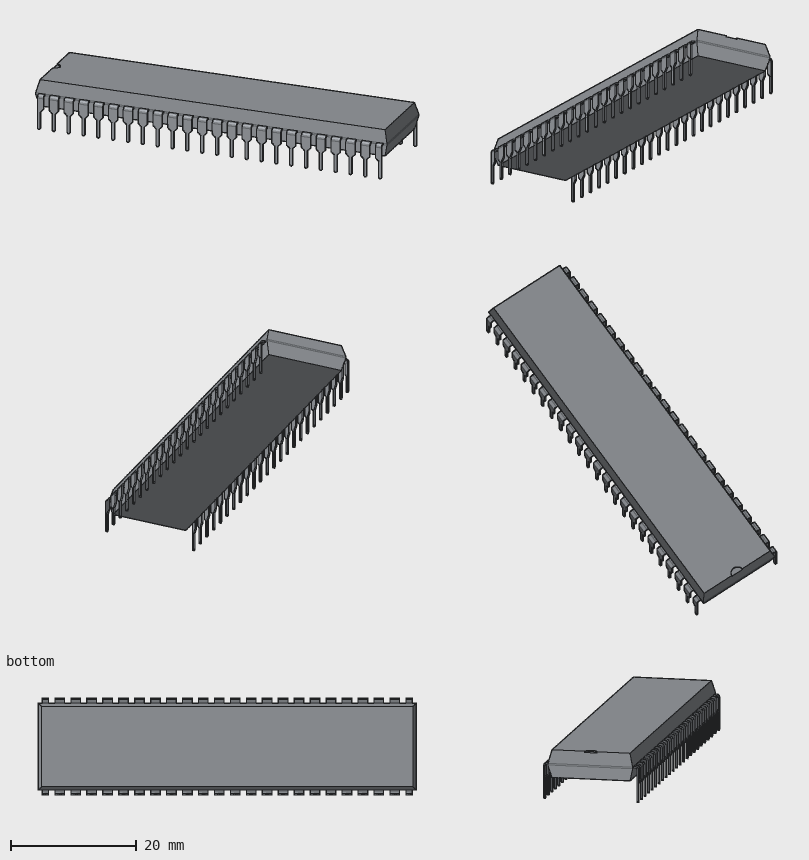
import cadquery as cq
import math

body_length = 60.2
body_width = 13.85
body_height = 4.5
draft_angle = 14.5

leads_per_side = 24
lead_pitch = 2.54
lead_thickness = 0.25
lead_span = 15.5
bend_radius = 0.25
lead_wide = 1.55
lead_narrow = 0.5
shoulder_drop = 2.35
shoulder_height = 0.55
tip_chamfer = 0.2
overall_height = 8.0

notch_radius = 1.0
notch_depth = 0.2
notch_inset = 0.4

half_band = lead_thickness / 2
half_body = body_height / 2
taper_height = half_body - half_band
lead_end_z = half_body - overall_height
shoulder_z = half_band - shoulder_drop
outer_y = lead_span / 2


def make_body():
    """Straight band at mid-height with tapered halves above and below it."""
    band = cq.Workplane("XY").box(body_length, body_width, lead_thickness)
    upper = (
        cq.Workplane("XY", origin=(0, 0, half_band))
        .rect(body_length, body_width)
        .extrude(taper_height, taper=draft_angle)
    )
    lower = upper.mirror("XY")
    return band.union(upper).union(lower)


def make_notch():
    """Round cutter centred just inside the -X end of the body."""
    return (
        cq.Workplane("XY", origin=(notch_inset - body_length / 2, 0, half_body))
        .circle(notch_radius)
        .extrude(-notch_depth)
    )


def make_bent_strips():
    """Full-length strips with the bent lead section, on both sides of the body."""
    inner_y = outer_y - lead_thickness
    outer_bend = bend_radius + lead_thickness
    bend_y = outer_y - outer_bend
    bend_z = half_band - outer_bend
    root_y = body_width / 2 - lead_thickness
    diagonal = math.sqrt(0.5)
    strip = (
        cq.Workplane("YZ", origin=(-body_length / 2, 0, 0))
        .moveTo(root_y, half_band)
        .lineTo(bend_y, half_band)
        .threePointArc(
            (bend_y + outer_bend * diagonal, bend_z + outer_bend * diagonal),
            (outer_y, bend_z),
        )
        .lineTo(outer_y, lead_end_z)
        .lineTo(inner_y, lead_end_z)
        .lineTo(inner_y, bend_z)
        .threePointArc(
            (bend_y + bend_radius * diagonal, bend_z + bend_radius * diagonal),
            (bend_y, -half_band),
        )
        .lineTo(root_y, -half_band)
        .close()
        .extrude(body_length)
    )
    return strip.union(strip.mirror("XZ"))


def extrude_across_rows(outline):
    """Extrude an XZ outline in both Y directions so it spans both lead rows."""
    return cq.Workplane("XZ").polyline(outline).close().extrude(outer_y, both=True)


def make_lead_blank(x, shoulder_left, shoulder_right):
    """Front outline of one lead, extruded across both rows."""
    half_wide = lead_wide / 2
    half_narrow = lead_narrow / 2
    half_tip = half_narrow - tip_chamfer
    stem_top_z = shoulder_z - shoulder_height
    tip_z = lead_end_z + tip_chamfer

    stem_outline = [
        (x - half_narrow, half_band),
        (x + half_narrow, half_band),
        (x + half_narrow, tip_z),
        (x + half_tip, lead_end_z),
        (x - half_tip, lead_end_z),
        (x - half_narrow, tip_z),
    ]
    blank = extrude_across_rows(stem_outline)

    sides = []
    if shoulder_left:
        sides.append(-1)
    if shoulder_right:
        sides.append(1)
    for side in sides:
        shoulder_outline = [
            (x, half_band),
            (x + side * half_wide, half_band),
            (x + side * half_wide, shoulder_z),
            (x + side * half_narrow, stem_top_z),
            (x, stem_top_z),
        ]
        blank = blank.union(extrude_across_rows(shoulder_outline))
    return blank.clean()


def make_leads():
    """Both rows of leads; the end leads have no shoulder on their outer side."""
    blanks = cq.Workplane("XY")
    last = leads_per_side - 1
    for i in range(leads_per_side):
        x = (i - last / 2) * lead_pitch
        blanks.add(make_lead_blank(x, shoulder_left=i > 0, shoulder_right=i < last))
    return make_bent_strips().intersect(blanks.combine())


result = make_body().cut(make_notch()).union(make_leads())